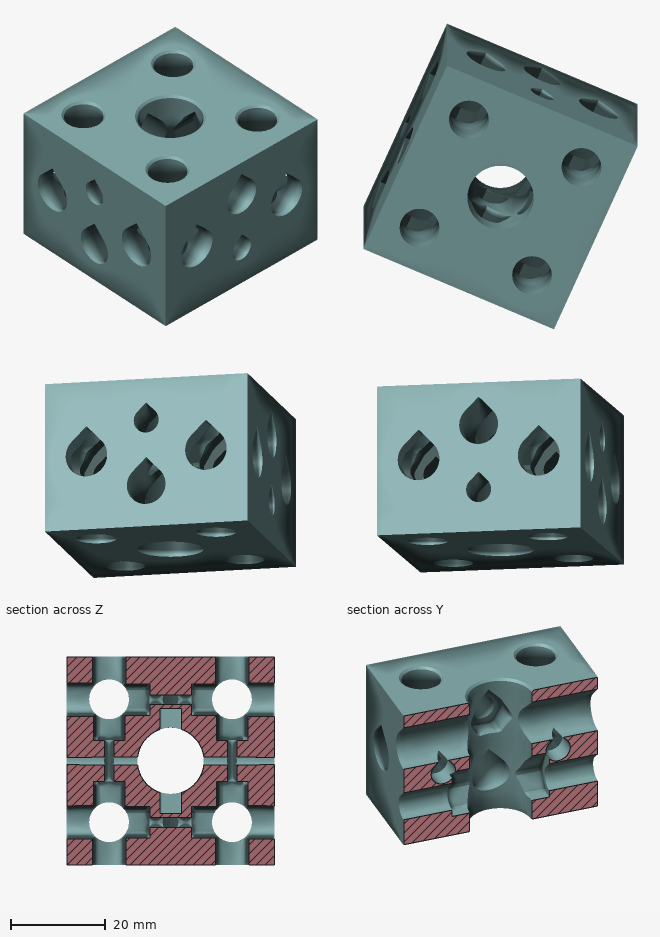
import cadquery as cq
import math

width = 44.0
height = 32.0
face = width / 2

center_bore_diameter = 14.0
corner_bore_diameter = 8.4
bore_offset = 13.0
bore_chamfer = 0.5

rod_diameter = 8.4
bolt_diameter = 5.4
level_offset = 7.0

head_diameter = 9.0
head_depth = 8.8

nut_flats = 8.55
nut_round_diameter = 9.35
side_nut_depth = 17.6
middle_nut_reach = 11.0


def teardrop(diameter, start, end, offset, level):
    """Round hole along Y with a 90 degree roof on top."""
    radius = diameter / 2
    tangent = radius / math.sqrt(2)
    return (
        cq.Workplane("XZ", origin=(offset, start, level))
        .moveTo(-tangent, tangent)
        .threePointArc((0, -radius), (tangent, tangent))
        .lineTo(0, radius * math.sqrt(2))
        .close()
        .extrude(start - end)
    )


def nut_pocket(start, end, offset, level):
    """Teardrop hole along Y flattened by the lower five sides of a hexagon."""
    apothem = nut_flats / 2
    corner = nut_flats / math.sqrt(3)
    hexagon = (
        cq.Workplane("XZ", origin=(offset, start, level))
        .polyline([
            (-corner, 0),
            (-corner / 2, -apothem),
            (corner / 2, -apothem),
            (corner, 0),
            (0, nut_flats),
        ])
        .close()
        .extrude(start - end)
    )
    return teardrop(nut_round_diameter, start, end, offset, level).intersect(hexagon)


def middle_holes(rod_level):
    """Rod hole along Y and, opposite it in height, a bolt hole with nut pockets in the center bore."""
    bolt_level = -rod_level
    rod = teardrop(rod_diameter, -face, face, 0, rod_level)
    bolt = teardrop(bolt_diameter, -face, face, 0, bolt_level)
    nuts = nut_pocket(-middle_nut_reach, middle_nut_reach, 0, bolt_level)
    return rod.union(bolt).union(nuts)


def side_bolt_hole(offset):
    """Bolt hole along Y at mid-height, with a counterbore and a deeper nut pocket at each end."""
    hole = teardrop(bolt_diameter, -face, face, offset, 0)
    for outward in (-1, 1):
        entry = outward * face
        head_floor = outward * (face - head_depth)
        nut_floor = outward * (face - side_nut_depth)
        hole = hole.union(teardrop(head_diameter, entry, head_floor, offset, 0))
        hole = hole.union(nut_pocket(head_floor, nut_floor, offset, 0))
    return hole


def horizontal_holes(rod_level):
    """All holes that run along Y."""
    holes = middle_holes(rod_level)
    for offset in (-bore_offset, bore_offset):
        holes = holes.union(side_bolt_hole(offset))
    return holes


block = (
    cq.Workplane("XY")
    .box(width, width, height)
    .faces(">Z")
    .workplane()
    .hole(center_bore_diameter)
    .faces(">Z")
    .workplane()
    .rect(2 * bore_offset, 2 * bore_offset, forConstruction=True)
    .vertices()
    .hole(corner_bore_diameter)
)
block = block.faces(">Z").edges("%CIRCLE").chamfer(bore_chamfer)

holes_along_y = horizontal_holes(-level_offset)
holes_along_x = horizontal_holes(level_offset).rotate((0, 0, 0), (0, 0, 1), -90)

result = block.cut(holes_along_y).cut(holes_along_x)